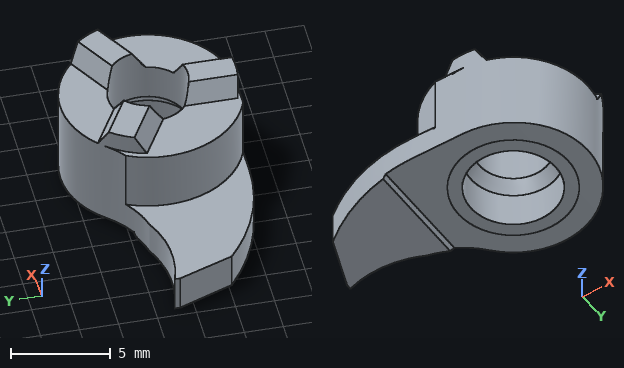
import cadquery as cq
import math


hub_radius = 4.5
drum_radius = 4.8
hub_bottom = 0.33
hub_top = 5.08
relief_start_x = 2.55
relief_rise = 0.07

tip_x = -10.5
tip_top_y = 1.0
tip_low_y = 0.7
nose = (-9.41, -2.17)
flank_middle = (-8.4, 0.7)
flank_break = (-6.07, 1.3)
root_middle = (-4.57, 1.93)
root_end_y = 2.95
belly_middle = (-6.05, -4.02)
belly_end_x = -3.03
lever_tip_thickness = 1.96
lever_slope = 0.02
step_x = -4.77
step_run = 0.18

tooth_angles = (30, 150, 270)
tooth_height = 1.02
tooth_root_width = 2.58
tooth_crest_width = 1.35

bore_radius = 2.04
bore_depth = 1.96
flare_depth = 0.7
ring_bore_radius = 2.55
ring_outer_radius = 3.3
ring_top = hub_top - bore_depth - flare_depth


def make_outline(height):
    """Comma-shaped plan of the hub and lever, as a prism from Z = 0."""
    root_end = (-math.sqrt(hub_radius**2 - root_end_y**2), root_end_y)
    return (
        cq.Workplane("XY")
        .moveTo(tip_x, tip_top_y)
        .lineTo(tip_x, tip_low_y)
        .lineTo(*nose)
        .threePointArc(belly_middle, (belly_end_x, -hub_radius))
        .lineTo(0, -hub_radius)
        .threePointArc((hub_radius, 0), root_end)
        .threePointArc(root_middle, flank_break)
        .threePointArc(flank_middle, (tip_x, tip_top_y))
        .close()
        .extrude(height)
    )


def make_lever():
    """Gently sloping lever with a bevelled step on its underside."""
    bevel_x = step_x - step_run
    side = (
        cq.Workplane("XZ")
        .moveTo(tip_x, 0)
        .lineTo(bevel_x, lever_slope * (bevel_x - tip_x))
        .lineTo(step_x, hub_bottom)
        .lineTo(0, hub_bottom)
        .lineTo(0, lever_tip_thickness + lever_slope * tip_x)
        .lineTo(tip_x, lever_tip_thickness)
        .close()
        .extrude(hub_radius, both=True)
    )
    return make_outline(hub_top).intersect(side)


def make_relief():
    """Wedge removed from the underside at the +X end."""
    return (
        cq.Workplane("XZ")
        .moveTo(relief_start_x, hub_bottom)
        .lineTo(hub_radius, hub_bottom)
        .lineTo(hub_radius, hub_bottom + relief_rise)
        .close()
        .extrude(hub_radius, both=True)
    )


def make_hub():
    """Hub cut to the plan outline."""
    drum = cq.Workplane("XY").workplane(offset=hub_bottom).circle(drum_radius).extrude(hub_top - hub_bottom)
    return make_outline(hub_top).intersect(drum)


def make_tooth(angle):
    """Radial tooth of trapezoidal section, ending on the hub cylinder."""
    bar = (
        cq.Workplane("YZ")
        .moveTo(-tooth_root_width / 2, hub_top)
        .lineTo(tooth_root_width / 2, hub_top)
        .lineTo(tooth_crest_width / 2, hub_top + tooth_height)
        .lineTo(-tooth_crest_width / 2, hub_top + tooth_height)
        .close()
        .extrude(hub_radius)
        .rotate((0, 0, 0), (0, 0, 1), angle)
    )
    limit = cq.Workplane("XY").workplane(offset=hub_top).circle(hub_radius).extrude(tooth_height)
    return bar.intersect(limit)


def make_bore():
    """Straight bore that flares out and then opens into the ring seat."""
    flare_top = ring_top + flare_depth
    return (
        cq.Workplane("XZ")
        .moveTo(0, 0)
        .lineTo(ring_outer_radius, 0)
        .lineTo(ring_outer_radius, ring_top)
        .lineTo(ring_bore_radius, ring_top)
        .lineTo(bore_radius, flare_top)
        .lineTo(bore_radius, hub_top + tooth_height)
        .lineTo(0, hub_top + tooth_height)
        .close()
        .revolve(360, (0, 0, 0), (0, 1, 0))
    )


def make_pawl():
    body = make_hub().union(make_lever())
    for angle in tooth_angles:
        body = body.union(make_tooth(angle))
    return body.cut(make_bore()).cut(make_relief())


def make_ring():
    """Ring seated in the hub, flush with its relieved underside."""
    return (
        cq.Workplane("XY")
        .workplane(offset=hub_bottom)
        .circle(ring_outer_radius)
        .circle(ring_bore_radius)
        .extrude(ring_top - hub_bottom)
        .cut(make_relief())
    )


pawl = make_pawl()
ring = make_ring()
result = cq.Compound.makeCompound([pawl.val(), ring.val()])